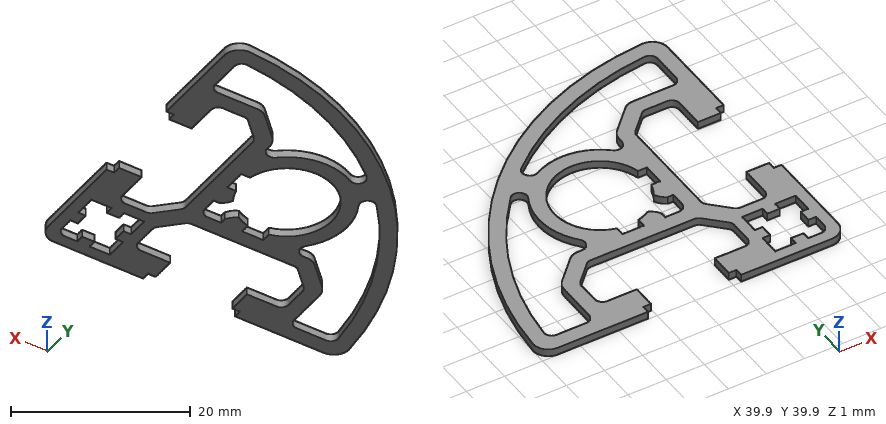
import cadquery as cq
import math

side = 40.0
length = 1.0
wall = 2.0
half = side / 2
corner_fillet = 2.0

slot_floor = 9.0
slot_half_width = 10.0
slot_chamfer = 2.8
slot_floor_fillet = 1.0
slot_lip_fillet = 1.0
lip_thickness = 4.0
mouth_width = 10.2
recess_width = 12.2
recess_depth = 1.0

bore_radius = 6.0
ring_radius = bore_radius + wall
core_half = slot_floor - wall
keyway_width = 2.8
pocket_size = 2.8
pocket_fillet = 1.0
throat_width = 3.0
throat_straight = 0.73
throat_bulge = 0.14

void_fillet = 1.0
bend_fillet = 2.0
bend_offset = 1.05

channel_size = 7.0
channel_wall = 1.5
channel_rib_width = 1.65
channel_rib_height = 1.0
channel_fillet = 1.0

corner = cq.Vector(half, -half)
outer_radius = side
inner_arc_radius = outer_radius - wall


def extrude(outline):
    return outline.close().extrude(length)


def box(x_min, x_max, y_min, y_max):
    plan = cq.Workplane().center((x_min + x_max) / 2, (y_min + y_max) / 2)
    return plan.rect(x_max - x_min, y_max - y_min).extrude(length)


def mirrored(body):
    """Reflect a body about the line y = -x."""
    return cq.Workplane(body.val().mirror(cq.Vector(1, 1, 0)))


def round_corners(body, points, radius):
    """Fillet the vertical edges standing at the given points."""
    for point in points:
        foot = cq.Vector(point)
        nearest = cq.selectors.NearestToPointSelector((foot.x, foot.y, length / 2))
        body = body.edges("|Z").edges(nearest).fillet(radius)
    return body


def quarter_round():
    """Solid quarter disc with its three corners rounded."""
    left_end = corner - cq.Vector(outer_radius, 0)
    top_end = corner + cq.Vector(0, outer_radius)
    arc_middle = corner + cq.Vector(-1, 1).normalized() * outer_radius
    outline = (
        cq.Workplane()
        .moveTo(corner.x, corner.y)
        .lineTo(left_end.x, left_end.y)
        .threePointArc(arc_middle, top_end)
    )
    return round_corners(extrude(outline), [corner, left_end, top_end], corner_fillet)


def t_slot():
    """Slot that opens on the +X side."""
    lip_x = half - lip_thickness
    chamfer_x = slot_floor + slot_chamfer
    chamfer_y = slot_half_width - slot_chamfer
    floor_corners = [
        (chamfer_x, -slot_half_width),
        (slot_floor, -chamfer_y),
        (slot_floor, chamfer_y),
        (chamfer_x, slot_half_width),
    ]
    lip_corners = [(lip_x, slot_half_width), (lip_x, -slot_half_width)]
    cavity = extrude(cq.Workplane().polyline(floor_corners + lip_corners))
    cavity = round_corners(cavity, floor_corners, slot_floor_fillet)
    cavity = round_corners(cavity, lip_corners, slot_lip_fillet)
    mouth = box(slot_floor, half, -mouth_width / 2, mouth_width / 2)
    recess = box(half - recess_depth, half, -recess_width / 2, recess_width / 2)
    return cavity.union(mouth).union(recess)


def void_tip_centre():
    """Centre of the round tip that touches both the inner arc and the bore ring."""
    from_corner = inner_arc_radius - void_fillet
    from_bore = ring_radius + void_fillet
    span = corner.Length
    along = (from_corner**2 - from_bore**2 - span**2) / (2 * span)
    across = math.sqrt(from_bore**2 - along**2)
    return cq.Vector(-1, 1).normalized() * along + cq.Vector(1, 1).normalized() * across


def crescent_void():
    """Void between the outer arc, the bore ring and the wall of the +X slot."""
    tip = void_tip_centre()
    toward_arc = (tip - corner).normalized()
    toward_ring = -tip.normalized()
    tip_at_arc = tip + toward_arc * void_fillet
    tip_middle = tip + (toward_arc + toward_ring).normalized() * void_fillet
    tip_at_ring = tip + toward_ring * void_fillet

    arc_end = corner + cq.Vector(-wall, math.sqrt(inner_arc_radius**2 - wall**2))
    arc_middle = corner + (tip_at_arc + arc_end - corner * 2).normalized() * inner_arc_radius

    floor_y = slot_half_width + wall
    floor_end = cq.Vector(half - wall, floor_y)
    upper_bend = cq.Vector(floor_y - bend_offset, floor_y)
    lower_bend = cq.Vector(core_half, core_half + bend_offset)

    ring_start = cq.Vector(core_half, math.sqrt(ring_radius**2 - core_half**2))
    ring_middle = (ring_start + tip_at_ring).normalized() * ring_radius
    outline = (
        cq.Workplane()
        .moveTo(tip_at_arc.x, tip_at_arc.y)
        .threePointArc(arc_middle, arc_end)
        .lineTo(floor_end.x, floor_end.y)
        .lineTo(upper_bend.x, upper_bend.y)
        .lineTo(lower_bend.x, lower_bend.y)
        .lineTo(ring_start.x, ring_start.y)
        .threePointArc(ring_middle, tip_at_ring)
        .threePointArc(tip_middle, tip_at_arc)
    )
    void = round_corners(extrude(outline), [arc_end, floor_end, ring_start], void_fillet)
    return round_corners(void, [upper_bend, lower_bend], bend_fillet)


def keyway():
    """Groove from the bore to the +X face of the core."""
    return box(0, core_half, -keyway_width / 2, keyway_width / 2)


def corner_pocket():
    """Square pocket in the core corner, with a round-walled throat into the bore."""
    pocket_edge = core_half - pocket_size
    pocket = box(pocket_edge, core_half, -core_half, -pocket_edge)
    pocket = round_corners(pocket, [(core_half, -core_half)], pocket_fillet)

    tip_angle = math.radians(45) - math.asin(throat_width / 2 / bore_radius)
    tip_near = bore_radius * math.sin(tip_angle)
    tip_far = bore_radius * math.cos(tip_angle)
    wall_end = core_half - throat_straight
    upper_tip = cq.Vector(tip_far, -tip_near)
    lower_tip = cq.Vector(tip_near, -tip_far)
    upper_end = cq.Vector(wall_end, -pocket_edge)
    lower_end = cq.Vector(pocket_edge, -wall_end)
    bulge = cq.Vector(1, 1).normalized() * throat_bulge
    upper_middle = (upper_tip + upper_end) * 0.5 - bulge
    lower_middle = (lower_tip + lower_end) * 0.5 + bulge
    throat = (
        cq.Workplane()
        .moveTo(0, 0)
        .lineTo(upper_tip.x, upper_tip.y)
        .threePointArc(upper_middle, upper_end)
        .lineTo(wall_end, -wall_end)
        .lineTo(lower_end.x, lower_end.y)
        .threePointArc(lower_middle, lower_tip)
    )
    return pocket.union(extrude(throat))


def screw_channel():
    """Square channel with a rib in the middle of each side."""
    x_max = half - channel_wall
    x_min = x_max - channel_size
    centre = (x_min + x_max) / 2
    channel = box(x_min, x_max, -x_max, -x_min)
    channel = round_corners(channel, [(x_max, -x_max)], channel_fillet)
    rib_offset = (channel_size - channel_rib_height) / 2
    ribs = (
        cq.Workplane()
        .center(centre, -centre)
        .polarArray(rib_offset, 0, 360, 4)
        .rect(channel_rib_height, channel_rib_width)
        .extrude(length)
    )
    return channel.cut(ribs)


bore = cq.Workplane().circle(bore_radius).extrude(length)

result = quarter_round().cut(bore).cut(corner_pocket()).cut(screw_channel())
for opening in (t_slot(), crescent_void(), keyway()):
    result = result.cut(opening).cut(mirrored(opening))